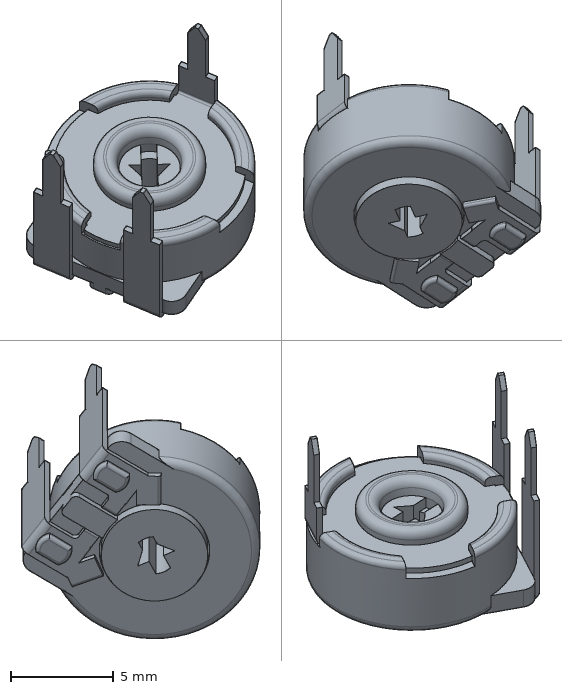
import cadquery as cq


SHEET = 0.3
BEND_OUTER = 0.41
BEND_INNER = BEND_OUTER - SHEET
BLADE_WIDTH = 2.0
PIN_WIDTH = BLADE_WIDTH / 2
PIN_TIP_WIDTH = 0.2
PIN_SPACING = 5.0
SHOULDER_Z = 5.6
TAPER_Z = 8.44
PIN_TOP_Z = 9.12

HOUSING_D = 10.3
HOUSING_TOP_Z = 4.1
HOUSING_BOTTOM_FILLET = 0.4
FLOOR = 0.4
FLOOR_HOLE_D = 5.4
CLAW_INNER_D = 8.4
CLAW_FILLET = 0.3
SIDE_SLOT_WIDTH = 3.51
END_SLOT_WIDTH = 2.14
BASE_WIDTH = 8.74
BASE_FRONT_Y = -5.18
BASE_HEIGHT = 1.02
BASE_CORNER = 0.8
RIB_WIDTH = 1.29
RIB_DEPTH = 0.4
RIB_CORNER = 0.3

PLATE_D = 9.4
PLATE_BOTTOM_Z = 3.3
PLATE_TOP_Z = PLATE_BOTTOM_Z + SHEET
FRONT_TAB_REACH = 5.06
FRONT_TAB_CORNER = 0.12
COLLECTOR_BACK_Y = 5.16

ROTOR_D = 5.5
ROTOR_TOP_Z = 4.4
ROTOR_RIM_FILLET = 0.5
HUB_D = 5.2
HUB_BOTTOM_Z = -0.4
MOUTH_TOP_D = 4.25
MOUTH_D = 3.15
MOUTH_Z = 3.98
RECESS_FLOOR_D = 3.0
RECESS_FLOOR_Z = 3.55
DRIVE_ANGLE = 30
DRIVE_SLOT_WIDTH = 0.79
DRIVE_SLOT_DEPTH = 0.6
DRIVE_OPENING_D = 2.1
BARB_HALF_SPAN = 1.0
BARB_FRONT = 0.2
BARB_BACK = -0.53

FOOT_BACK_Y = -2.76
OUTER_TONGUE_ANGLE = 33.5
OUTER_TONGUE_WIDTH = 1.64
OUTER_TONGUE_LENGTH = 1.19
INNER_TONGUE_END_X = 0.68
INNER_TONGUE_FRONT_Y = -3.61
INNER_TONGUE_BACK_Y = -2.79
TONGUE_CORNER = 0.25
TONGUE_END_FILLET = 0.15
RIVET_D = 1.78
RIVET_WIDTH = 1.2
RIVET_Y = -4.25
RIVET_BOTTOM_Z = -0.6
RIVET_FILLET = 0.2


def block(x0, x1, y0, y1, z0, z1):
    """Box given by its limits along each axis."""
    return cq.Workplane("XY").box(x1 - x0, y1 - y0, z1 - z0, centered=False).translate((x0, y0, z0))


def disc(diameter, z0, z1):
    """Upright cylinder on the rotor axis."""
    return cq.Workplane("XY").workplane(offset=z0).circle(diameter / 2).extrude(z1 - z0)


def blade(x, outer_y, bottom_z, inward):
    """Upright terminal blade with a stepped, pointed pin; inward is +1 or -1 along Y."""
    half_blade = BLADE_WIDTH / 2
    half_pin = PIN_WIDTH / 2
    half_tip = PIN_TIP_WIDTH / 2
    right_side = [
        (half_blade, bottom_z),
        (half_blade, SHOULDER_Z),
        (half_pin, SHOULDER_Z),
        (half_pin, TAPER_Z),
        (half_tip, PIN_TOP_Z),
    ]
    left_side = [(-px, pz) for px, pz in reversed(right_side)]
    outline = cq.Workplane("XZ").polyline(right_side + left_side).close()
    return outline.extrude(-inward * SHEET).translate((x, outer_y, 0))


def claw_gaps():
    """Crossed slots that part the top rim into four claws, down to the collector plate seat."""
    reach = HOUSING_D
    side_slot = block(-reach, reach, -SIDE_SLOT_WIDTH / 2, SIDE_SLOT_WIDTH / 2, PLATE_BOTTOM_Z, reach)
    end_slot = block(-END_SLOT_WIDTH / 2, END_SLOT_WIDTH / 2, -reach, reach, PLATE_BOTTOM_Z, reach)
    return side_slot.union(end_slot)


def make_housing():
    body = disc(HOUSING_D, 0, HOUSING_TOP_Z)
    body = body.faces("<Z").edges().fillet(HOUSING_BOTTOM_FILLET)
    body = body.cut(disc(CLAW_INNER_D, PLATE_BOTTOM_Z, HOUSING_TOP_Z))
    body = body.faces(">Z").edges().fillet(CLAW_FILLET)

    base = block(-BASE_WIDTH / 2, BASE_WIDTH / 2, BASE_FRONT_Y, 0, 0, BASE_HEIGHT)
    base = base.edges("|Z and <Y").fillet(BASE_CORNER)
    rib = block(-RIB_WIDTH / 2, RIB_WIDTH / 2, BASE_FRONT_Y, 0, -RIB_DEPTH, 0)
    rib = rib.edges("|Z and <Y").fillet(RIB_CORNER)
    body = body.union(base).union(rib)

    body = body.cut(claw_gaps())
    body = body.cut(disc(PLATE_D, PLATE_BOTTOM_Z, PLATE_TOP_Z))
    body = body.cut(disc(ROTOR_D, FLOOR, PLATE_BOTTOM_Z))
    return body.cut(disc(FLOOR_HOLE_D, -RIB_DEPTH, FLOOR))


def drive_opening():
    """Through opening: a slot with rounded ends crossed by an arrow head, pointing to -Y."""
    half_slot = DRIVE_SLOT_WIDTH / 2
    height = RECESS_FLOOR_Z - HUB_BOTTOM_Z
    half_length = DRIVE_OPENING_D / 2
    slot = block(-half_slot, half_slot, -half_length, half_length, HUB_BOTTOM_Z, RECESS_FLOOR_Z)
    slot = slot.intersect(disc(DRIVE_OPENING_D, HUB_BOTTOM_Z, RECESS_FLOOR_Z))
    barbs = (
        cq.Workplane("XY")
        .workplane(offset=HUB_BOTTOM_Z)
        .moveTo(-BARB_HALF_SPAN, BARB_FRONT)
        .lineTo(BARB_HALF_SPAN, BARB_FRONT)
        .lineTo(half_slot, BARB_BACK)
        .lineTo(-half_slot, BARB_BACK)
        .close()
        .extrude(height)
    )
    return slot.union(barbs)


def drive_slot():
    """Blind screwdriver slot across the whole recess floor."""
    half_slot = DRIVE_SLOT_WIDTH / 2
    half_length = RECESS_FLOOR_D / 2
    bottom_z = RECESS_FLOOR_Z - DRIVE_SLOT_DEPTH
    slot = block(-half_slot, half_slot, -half_length, half_length, bottom_z, RECESS_FLOOR_Z)
    return slot.intersect(disc(RECESS_FLOOR_D, bottom_z, RECESS_FLOOR_Z))


def make_rotor():
    body = (
        cq.Workplane("XZ")
        .moveTo(0, HUB_BOTTOM_Z)
        .lineTo(HUB_D / 2, HUB_BOTTOM_Z)
        .lineTo(HUB_D / 2, FLOOR)
        .lineTo(ROTOR_D / 2, FLOOR)
        .lineTo(ROTOR_D / 2, ROTOR_TOP_Z - ROTOR_RIM_FILLET)
        .tangentArcPoint((ROTOR_D / 2 - ROTOR_RIM_FILLET, ROTOR_TOP_Z), relative=False)
        .lineTo(MOUTH_TOP_D / 2, ROTOR_TOP_Z)
        .tangentArcPoint((MOUTH_D / 2, MOUTH_Z), relative=False)
        .lineTo(RECESS_FLOOR_D / 2, RECESS_FLOOR_Z)
        .lineTo(0, RECESS_FLOOR_Z)
        .close()
        .revolve(360, (0, 0, 0), (0, 1, 0))
    )
    drive = drive_opening().union(drive_slot())
    return body.cut(drive.rotate((0, 0, 0), (0, 0, 1), DRIVE_ANGLE))


def make_collector():
    half_blade = BLADE_WIDTH / 2
    plate = disc(PLATE_D, PLATE_BOTTOM_Z, PLATE_TOP_Z)
    front_tab = block(-half_blade, half_blade, -PLATE_D, 0, PLATE_BOTTOM_Z, PLATE_TOP_Z)
    front_tab = front_tab.intersect(disc(2 * FRONT_TAB_REACH, PLATE_BOTTOM_Z, PLATE_TOP_Z))
    front_tab = front_tab.edges("|Z").edges("<Y").fillet(FRONT_TAB_CORNER)

    back_arm = block(-half_blade, half_blade, 0, COLLECTOR_BACK_Y, PLATE_BOTTOM_Z, PLATE_TOP_Z)
    back_arm = back_arm.union(blade(0, COLLECTOR_BACK_Y, PLATE_BOTTOM_Z, -1))
    back_arm = back_arm.edges("|X and >Y and <Z").fillet(BEND_OUTER)
    inner_corner = (0, COLLECTOR_BACK_Y - SHEET, PLATE_TOP_Z)
    back_arm = back_arm.edges(cq.selectors.NearestToPointSelector(inner_corner)).fillet(BEND_INNER)

    body = plate.union(front_tab).union(back_arm)
    return body.cut(disc(ROTOR_D, PLATE_BOTTOM_Z, PLATE_TOP_Z))


def make_rivet():
    """Rivet head below the foot: a disc with two flat sides and a rounded lower rim."""
    flats = block(-RIVET_WIDTH / 2, RIVET_WIDTH / 2, -RIVET_D, RIVET_D, RIVET_BOTTOM_Z, 0)
    head = disc(RIVET_D, RIVET_BOTTOM_Z, 0).intersect(flats)
    head = head.faces("<Z").edges().fillet(RIVET_FILLET)
    return head.translate((PIN_SPACING / 2, RIVET_Y, 0))


def make_outer_terminal(side):
    """Terminal under the housing base; side is +1 for the +X terminal and -1 for its mirror image."""
    center_x = PIN_SPACING / 2
    inner_x = center_x - BLADE_WIDTH / 2
    outer_x = center_x + BLADE_WIDTH / 2
    blade_y = BASE_FRONT_Y - SHEET

    foot = block(inner_x, outer_x, blade_y, FOOT_BACK_Y, -SHEET, 0)
    bent_strip = foot.union(blade(center_x, blade_y, -SHEET, 1))
    bent_strip = bent_strip.edges("|X and <Y and <Z").fillet(BEND_OUTER)

    half_tongue = OUTER_TONGUE_WIDTH / 2
    outer_tongue = block(-half_tongue, half_tongue, 0, OUTER_TONGUE_LENGTH, -SHEET, 0)
    outer_tongue = outer_tongue.edges("|X and >Y and <Z").fillet(TONGUE_END_FILLET)
    outer_tongue = outer_tongue.rotate((0, 0, 0), (0, 0, 1), -OUTER_TONGUE_ANGLE)
    outer_tongue = outer_tongue.translate((center_x, FOOT_BACK_Y, 0))

    inner_tongue = block(INNER_TONGUE_END_X, center_x, INNER_TONGUE_FRONT_Y, INNER_TONGUE_BACK_Y, -SHEET, 0)
    inner_tongue = inner_tongue.edges("|Y and <X and <Z").fillet(TONGUE_END_FILLET)

    body = bent_strip.union(inner_tongue)
    notch = (inner_x, INNER_TONGUE_FRONT_Y, -SHEET / 2)
    body = body.edges("|Z").edges(cq.selectors.NearestToPointSelector(notch)).fillet(TONGUE_CORNER)
    body = body.union(outer_tongue).union(make_rivet())
    if side < 0:
        body = body.mirror("YZ")
    return body


housing = make_housing()
rotor = make_rotor()
collector = make_collector()
outer_terminals = [make_outer_terminal(side) for side in (-1, 1)]

bodies = [housing, rotor, collector, *outer_terminals]
result = cq.Compound.makeCompound([body.solids().val() for body in bodies])